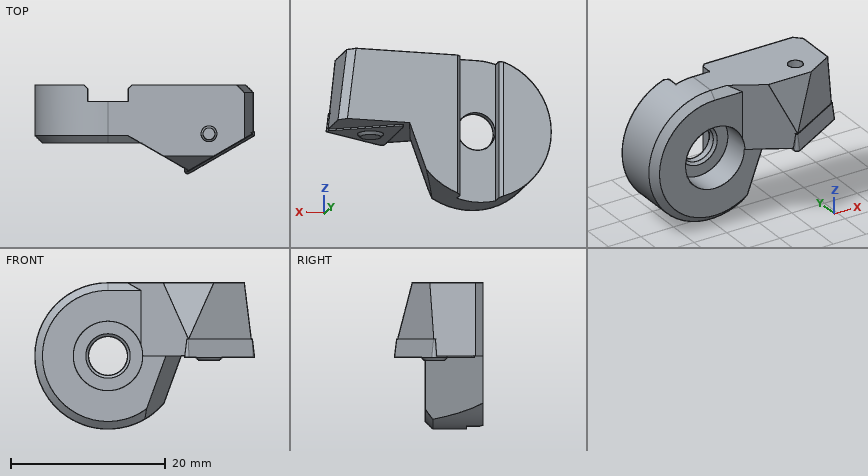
import cadquery as cq
import math


disc_radius = 9.5
disc_depth = 7.53
front_chamfer = 1.0
arm_length = 5.7

counterbore_radius = 4.5
counterbore_depth = 4.0
bore_radius = 2.5
bore_countersink = 0.37

slot_half_width = 2.6
slot_depth = 2.15
slot_chamfer = 0.5

flat_front_x = 7.5
flat_back_x = 9.5
flat_lean = 20.0

nose_angle = 30.0
flank_start_x = 4.25
nose_tip_x = 10.43
nose_lean = 14.5
end_x = 18.85
end_lean = 7.0
end_chamfer = 1.0

insert_x = 13.1
insert_y = 1.2
insert_bottom = -0.2
insert_top = 2.17
insert_inradius = 3.16
insert_corner_radius = 0.4
insert_relief = 7.0

shank_radius = 1.03
head_radius = 1.7
head_end_radius = 1.35
head_end = -0.57
screw_top = 5.7
screw_end_chamfer = 0.25

nose_slope = math.tan(math.radians(nose_angle))
nose_tip_y = -(nose_tip_x - flank_start_x) * nose_slope
clearance = 8.55


def oblique_prism(points, direction):
    """Solid swept along a slanted direction from a polygon on Z = 0."""
    base = cq.Wire.makePolygon([cq.Vector(x, y, 0) for x, y in points], close=True)
    return cq.Workplane(obj=cq.Solid.extrudeLinear(base, [], cq.Vector(*direction)))


def y_cylinder(radius, start, end):
    return cq.Workplane("XZ", origin=(0, start, 0)).circle(radius).extrude(start - end)


def make_disc():
    disc = y_cylinder(disc_radius, 0, disc_depth).faces("<Y").chamfer(front_chamfer)
    drop = disc_radius + clearance
    far_x = disc_radius + clearance
    outside_flat = oblique_prism(
        [(flat_front_x, 0), (far_x, 0), (far_x, disc_depth), (flat_back_x, disc_depth)],
        (-drop * math.tan(math.radians(flat_lean)), 0, -drop),
    )
    return disc.cut(outside_flat)


def make_arm():
    """Upper right quarter that squares off the disc and joins it to the head."""
    arm = cq.Workplane().box(arm_length, disc_depth, disc_radius, centered=False)
    return arm.edges("<Y and >Z").chamfer(front_chamfer)


def make_head():
    flank_back_x = flank_start_x - front_chamfer / nose_slope
    end_y = nose_tip_y + (end_x - nose_tip_x) * nose_slope
    outline = [
        (flank_back_x, front_chamfer),
        (nose_tip_x, nose_tip_y),
        (end_x, end_y),
        (end_x, disc_depth),
        (flank_back_x, disc_depth),
    ]
    head = cq.Workplane().polyline(outline).close().extrude(disc_radius)

    end_shift = -disc_radius * math.tan(math.radians(end_lean))
    far_x = end_x + clearance
    beyond_end = oblique_prism(
        [
            (end_x, -clearance),
            (end_x, disc_depth - end_chamfer),
            (end_x - end_chamfer, disc_depth),
            (far_x, disc_depth),
            (far_x, -clearance),
        ],
        (end_shift, 0, disc_radius),
    )

    nose_top_y = nose_tip_y + (disc_radius - insert_top) * math.tan(math.radians(nose_lean))
    before_nose = (
        cq.Workplane("YZ")
        .polyline([(nose_tip_y, insert_top), (nose_top_y, disc_radius), (nose_tip_y, disc_radius)])
        .close()
        .extrude(end_x)
    )
    return head.cut(beyond_end).cut(before_nose)


def make_bore():
    counterbore = y_cylinder(counterbore_radius, -clearance, counterbore_depth)
    through = y_cylinder(bore_radius, 0, disc_depth)
    countersink = cq.Workplane(obj=cq.Solid.makeCone(
        bore_radius + bore_countersink, bore_radius, bore_countersink,
        pnt=cq.Vector(0, counterbore_depth, 0), dir=cq.Vector(0, 1, 0),
    ))
    return counterbore.union(through).union(countersink)


def make_slot():
    floor_y = disc_depth - slot_depth
    shoulder_y = disc_depth - slot_chamfer
    mouth = slot_half_width + slot_chamfer
    outline = [
        (-slot_half_width, floor_y),
        (slot_half_width, floor_y),
        (slot_half_width, shoulder_y),
        (mouth, disc_depth),
        (-mouth, disc_depth),
        (-slot_half_width, shoulder_y),
    ]
    return cq.Workplane().polyline(outline).close().extrude(disc_radius, both=True)


def make_insert_blank():
    """Insert without its screw hole; one edge parallel to Y, one corner toward +X."""
    core_inradius = insert_inradius - insert_corner_radius
    half_side = core_inradius * math.sqrt(3)
    corner_centres = [(2 * core_inradius, 0), (-core_inradius, half_side), (-core_inradius, -half_side)]
    return (
        cq.Workplane(origin=(insert_x, insert_y, insert_bottom))
        .polyline(corner_centres)
        .close()
        .offset2D(insert_corner_radius)
        .extrude(insert_top - insert_bottom, taper=insert_relief)
    )


def make_screw():
    cone_top = insert_bottom + head_radius - shank_radius
    half_profile = [
        (0, head_end),
        (head_end_radius, head_end),
        (head_radius, insert_bottom),
        (shank_radius, cone_top),
        (shank_radius, screw_top - screw_end_chamfer),
        (shank_radius - screw_end_chamfer, screw_top),
        (0, screw_top),
    ]
    return (
        cq.Workplane("XZ", origin=(insert_x, insert_y, 0))
        .polyline(half_profile)
        .close()
        .revolve(360, (0, 0), (0, 1))
    )


def make_holder(insert_blank, screw):
    screw_hole = cq.Workplane(origin=(insert_x, insert_y, 0)).circle(shank_radius).extrude(disc_radius)
    holder = make_disc().union(make_arm()).union(make_head())
    holder = holder.cut(make_bore()).cut(make_slot())
    return holder.cut(insert_blank).cut(screw).cut(screw_hole)


screw = make_screw()
insert_blank = make_insert_blank()
insert = insert_blank.cut(screw)
holder = make_holder(insert_blank, screw)

result = cq.Compound.makeCompound([holder.val(), insert.val(), screw.val()])